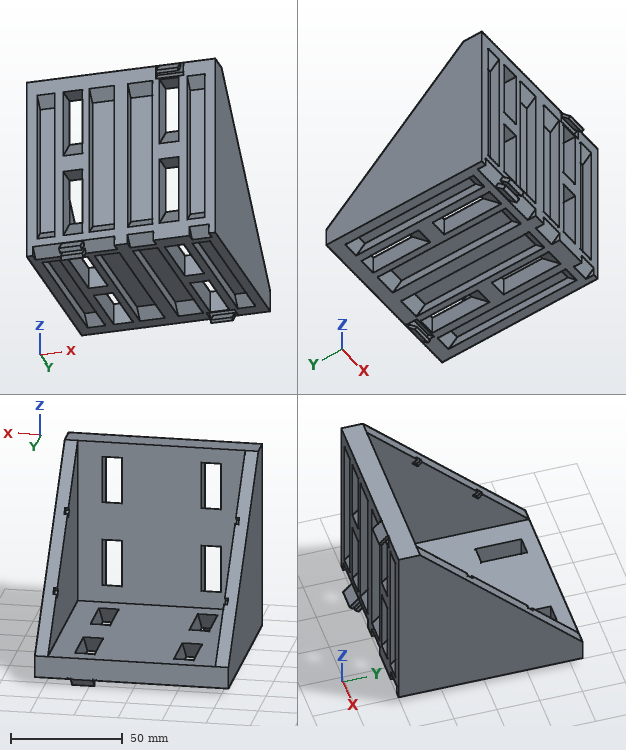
import cadquery as cq
import math

OVERALL = 90.2
TAB_REACH = 4.15
LEG = OVERALL - TAB_REACH
WIDTH = 88.0
PLATE = 10.1
END_WALL = 6.0

WINDOW_START = 8.1
WINDOW_PITCH = 39.3
WINDOW_LENGTH = 31.6
WINDOW_WIDTH = 8.9
WINDOW_X = 22.5
POCKET_DEPTH = 4.9
INNER_POCKET_X = 8.9
INNER_POCKET_WIDTH = 11.55
OUTER_POCKET_X = 35.0
OUTER_POCKET_WIDTH = 8.2

CHAMFER = 4.4
CHAMFER_SPANS = [(-41.1, -3.1), (3.1, 15.1), (31.9, 41.1)]

CLIP_X = 22.65
CLIP_WIDTH = 10.1
TAB_THICKNESS = 1.5
TAB_RECESS_DEPTH = 3.2
TAB_RECESS_WIDTH = 13.0

SLOT_RECESS = 1.5
SLOT_MOUTH = 3.1
SLOT_FLOOR = 3.4
SLOT_DEPTH = 3.0
SLOT_Y = (34.8, 63.1)

DIAGONAL = math.sqrt(0.5)


def prism(points, x_center, width):
    """Extrude a closed (Y, Z) outline along X, centred on x_center."""
    start = x_center - width / 2
    return cq.Workplane("YZ").workplane(offset=start).polyline(points).close().extrude(width)


def both_plates(points):
    """Return a (Y, Z) outline on the upright plate and its mirror image on the base plate."""
    return [points, [(z, y) for y, z in points]]


def diagonal_box(y, z, inward, outward, below, above):
    """Rectangle at 45 degrees about (y, z).

    It reaches inward along (+Y, +Z), outward along (-Y, -Z), and spans from
    below to above, both measured along (-Y, +Z).
    """
    corners = [(-outward, below), (inward, below), (inward, above), (-outward, above)]
    return [(y + (u - v) * DIAGONAL, z + (u + v) * DIAGONAL) for u, v in corners]


def bracket_body():
    outline = [(0, 0), (LEG, 0), (LEG, PLATE), (PLATE, LEG), (0, LEG)]
    hollow = [(PLATE, PLATE), (LEG, PLATE), (LEG, LEG), (PLATE, LEG)]
    return prism(outline, 0, WIDTH).cut(prism(hollow, 0, WIDTH - 2 * END_WALL))


def cut_windows(body):
    for start in (WINDOW_START, WINDOW_START + WINDOW_PITCH):
        end = start + WINDOW_LENGTH
        outline = [(0, start), (PLATE, start + PLATE), (PLATE, end), (0, end)]
        for points in both_plates(outline):
            for x in (-WINDOW_X, WINDOW_X):
                body = body.cut(prism(points, x, WINDOW_WIDTH))
    return body


def cut_pockets(body):
    start = WINDOW_START
    end = start + WINDOW_PITCH + WINDOW_LENGTH
    outline = [
        (0, start),
        (POCKET_DEPTH, start + POCKET_DEPTH),
        (POCKET_DEPTH, end - POCKET_DEPTH),
        (0, end),
    ]
    sizes = [(INNER_POCKET_X, INNER_POCKET_WIDTH), (OUTER_POCKET_X, OUTER_POCKET_WIDTH)]
    for points in both_plates(outline):
        for x, width in sizes:
            for side in (-1, 1):
                body = body.cut(prism(points, side * x, width))
    return body


def cut_corner_chamfers(body):
    outline = [(0, 0), (CHAMFER, 0), (0, CHAMFER)]
    for x_min, x_max in CHAMFER_SPANS:
        body = body.cut(prism(outline, (x_min + x_max) / 2, x_max - x_min))
    return body


def add_end_tabs(body):
    depth = TAB_RECESS_DEPTH
    recess = [(0, LEG), (depth, LEG - depth), (0, LEG - 2 * depth)]
    reach = TAB_REACH / DIAGONAL
    tab = diagonal_box(0, LEG, 0, reach, -TAB_THICKNESS, 0)
    for points in both_plates(recess):
        body = body.cut(prism(points, CLIP_X, TAB_RECESS_WIDTH))
    for points in both_plates(tab):
        body = body.union(prism(points, CLIP_X, CLIP_WIDTH))
    return body


def add_corner_fork(body):
    half_height = TAB_REACH * DIAGONAL
    root = CHAMFER * DIAGONAL
    prong = diagonal_box(0, 0, root, half_height, TAB_THICKNESS / 2, half_height)
    for points in both_plates(prong):
        body = body.union(prism(points, -CLIP_X, CLIP_WIDTH))
    return body


def cut_end_wall_slots(body):
    inner_face = WIDTH / 2 - END_WALL
    half_mouth = SLOT_MOUTH / 2
    half_floor = SLOT_FLOOR / 2
    dovetail = [(-half_mouth, 0), (half_mouth, 0), (half_floor, SLOT_DEPTH), (-half_floor, SLOT_DEPTH)]
    for y in SLOT_Y:
        z = LEG + PLATE - y
        outline = [(y + (along - down) * DIAGONAL, z - (along + down) * DIAGONAL) for along, down in dovetail]
        for side in (-1, 1):
            x = side * (inner_face + SLOT_RECESS / 2)
            body = body.cut(prism(outline, x, SLOT_RECESS))
    return body


result = bracket_body()
result = cut_windows(result)
result = cut_pockets(result)
result = cut_corner_chamfers(result)
result = add_end_tabs(result)
result = add_corner_fork(result)
result = cut_end_wall_slots(result)